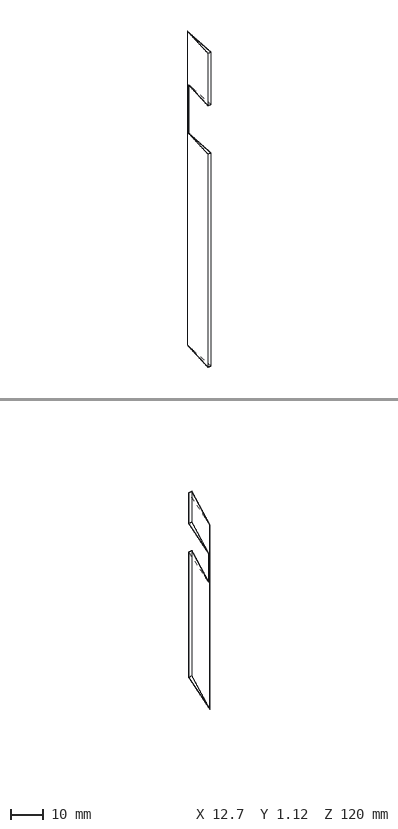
import cadquery as cq

length = 120.0
width = 12.7
thick_edge = 1.12

notch_top = 100.0
notch_height = 18.5
web_width = 0.8


def wedge_strip():
    """Triangular section: flat front face, rear face sloping away from the thin edge."""
    return (
        cq.Workplane("XY")
        .polyline([(0, 0), (width, 0), (width, thick_edge)])
        .close()
        .extrude(length)
    )


def notch():
    """Block that passes through the full thickness and opens at the thick edge."""
    return cq.Workplane("XY").box(
        width - web_width, thick_edge, notch_height, centered=False
    ).translate((web_width, 0, notch_top - notch_height))


result = wedge_strip().cut(notch())